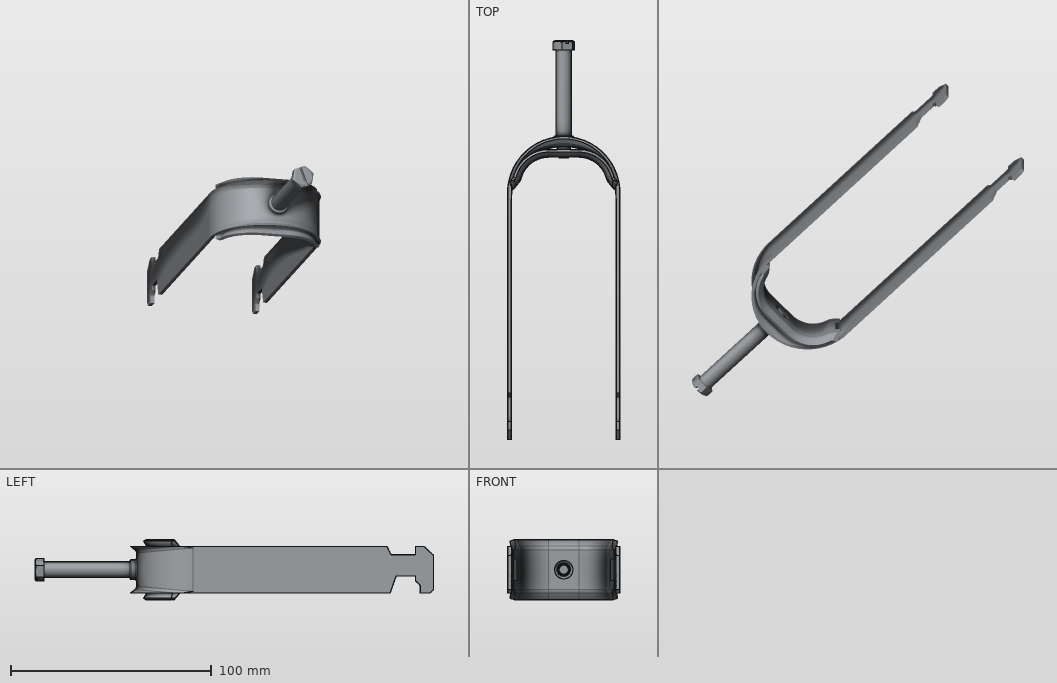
import cadquery as cq
import math


STRAP_OUTER_RADIUS = 28.0
STRAP_THICKNESS = 2.0
STRAP_INNER_RADIUS = STRAP_OUTER_RADIUS - STRAP_THICKNESS
STRAP_HEIGHT = 23.2
STRAP_HALF_HEIGHT = STRAP_HEIGHT / 2
ARM_LENGTH = 119.9
FLARE_SHIFT_OUTER = 3.0
FLARE_SHIFT_INNER = 3.8
FLARE_SLOPE = 1.25
FLARE_BEND_RADIUS = 2.0
FLARE_DEPTH = 6.0

EDGE_MARGIN = 0.2

HOOK_LENGTH = 9.1
HOOK_NOSE_LENGTH = 4.8
HOOK_NOSE_HEIGHT = 4.5
HOOK_HEEL_CHAMFER = 1.8
HOOK_TOE_LENGTH = 6.7
NECK_TOP = 7.5
NECK_BOTTOM = -3.2
HOOK_STEP_BOTTOM = -7.7
HOOK_STEP_TOP = -5.5
UPPER_NOTCH_LENGTH = 12.1
LOWER_NOTCH_LENGTH = 9.5
UPPER_NOTCH_SLANT = 2.0
LOWER_NOTCH_SLANT = 3.0

COLLAR_DIAMETER = 10.0
COLLAR_TIP_Y = 31.2
COLLAR_BASE_FILLET = 1.0
COLLAR_TIP_FILLET = 0.5

SADDLE_THICKNESS = 1.5
SADDLE_FRONT_Y = 20.6
SADDLE_FLAT_HALF = 7.5
SADDLE_BEND_RADIUS = 14.0
SADDLE_BEND_ANGLE = 80.0
THROAT_RADIUS = 8.0
FLANGE_ANGLE = 32.0
WEB_HALF_HEIGHT = 10.0
SADDLE_HEIGHT = 30.0
SADDLE_HALF_HEIGHT = SADDLE_HEIGHT / 2
FLANGE_BEND_RADIUS = 3.4
TAB_END_X = 25.0
TAB_END_Y = 4.8
TAB_NOTCH_HALF = 5.4
TAB_NOTCH_DEPTH = 2.0
TAB_CORNER_Y = 9.3
TAB_CORNER_LENGTH = 8.0
TAB_CORNER_DROP = 1.2
COUNTERSINK_DIAMETER = 9.1

SHANK_DIAMETER = 8.0
NECK_DIAMETER = 6.5
PILOT_DIAMETER = 6.0
TIP_DIAMETER = 5.0
TIP_CHAMFER = 0.2
TIP_END_Y = 20.2
TIP_LENGTH = 1.0
OVERALL_LENGTH = 198.5
HEAD_TOP_Y = OVERALL_LENGTH - ARM_LENGTH
HEAD_HEIGHT = 4.5
HEAD_ACROSS_FLATS = 10.0
HEAD_TURN = 9.0
HEAD_TOP_DIAMETER = 9.0
HEAD_CONE_SLOPE = 1.7
SLOT_WIDTH = 1.4
SLOT_DEPTH = 1.4


def disc_cone(radius, shift_y, side):
    """Cone widening away from Z = 0 to the given radius at the strap's edge."""
    cone = cq.Solid.makeCone(radius - FLARE_SLOPE * FLARE_DEPTH, radius, FLARE_DEPTH)
    cone = cq.Workplane(cone.translate(cq.Vector(0, shift_y, STRAP_HALF_HEIGHT - FLARE_DEPTH)))
    return cone if side > 0 else cone.mirror("XY")


def u_block(radius, shift_y, bend_radius):
    """Solid U: a round end with flared edges, and straight sides down to the arm ends."""
    block = (
        cq.Workplane("XY", origin=(0, 0, -STRAP_HALF_HEIGHT))
        .moveTo(radius, -ARM_LENGTH)
        .lineTo(radius, 0)
        .threePointArc((0, radius), (-radius, 0))
        .lineTo(-radius, -ARM_LENGTH)
        .close()
        .extrude(2 * STRAP_HALF_HEIGHT)
    )
    for side in (1, -1):
        block = block.union(disc_cone(radius, shift_y, side))
    low_y = FLARE_SHIFT_OUTER / 2
    high_y = radius + shift_y
    bend_low = STRAP_HALF_HEIGHT - FLARE_DEPTH + EDGE_MARGIN
    bend_high = STRAP_HALF_HEIGHT - EDGE_MARGIN
    upper_bend = cq.selectors.BoxSelector((-radius, low_y, bend_low), (radius, high_y, bend_high))
    lower_bend = cq.selectors.BoxSelector((-radius, low_y, -bend_low), (radius, high_y, -bend_high))
    return block.edges(upper_bend + lower_bend).fillet(bend_radius)


def arm_outline():
    """Side outline of the strap in the YZ plane, with the hook at the low-Y end."""
    h = STRAP_HALF_HEIGHT
    end = -ARM_LENGTH
    hook = end + HOOK_LENGTH
    front = STRAP_OUTER_RADIUS + 2 * FLARE_SHIFT_OUTER
    points = [
        (front, h),
        (hook + UPPER_NOTCH_LENGTH + UPPER_NOTCH_SLANT, h),
        (hook + UPPER_NOTCH_LENGTH, NECK_TOP),
        (hook, NECK_TOP),
        (hook, h),
        (end + HOOK_NOSE_LENGTH, h),
        (end, h - HOOK_NOSE_HEIGHT),
        (end, HOOK_HEEL_CHAMFER - h),
        (end + HOOK_HEEL_CHAMFER, -h),
        (end + HOOK_TOE_LENGTH, -h),
        (end + HOOK_TOE_LENGTH, HOOK_STEP_BOTTOM),
        (hook, HOOK_STEP_TOP),
        (hook, NECK_BOTTOM),
        (hook + LOWER_NOTCH_LENGTH, NECK_BOTTOM),
        (hook + LOWER_NOTCH_LENGTH + LOWER_NOTCH_SLANT, -h),
        (front, -h),
    ]
    return cq.Workplane("YZ").polyline(points).close().extrude(2 * STRAP_OUTER_RADIUS, both=True)


def y_cylinder(diameter, y_low, y_high):
    return cq.Workplane("XZ", origin=(0, y_high, 0)).circle(diameter / 2).extrude(y_high - y_low)


def make_strap():
    outer = u_block(STRAP_OUTER_RADIUS, FLARE_SHIFT_OUTER, FLARE_BEND_RADIUS)
    inner = u_block(STRAP_INNER_RADIUS, FLARE_SHIFT_INNER, FLARE_BEND_RADIUS + STRAP_THICKNESS)
    strap = outer.intersect(arm_outline())
    collar = y_cylinder(COLLAR_DIAMETER, 0, COLLAR_TIP_Y).faces(">Y").edges().fillet(COLLAR_TIP_FILLET)
    strap = strap.union(collar)
    reach = COLLAR_DIAMETER / 2 + EDGE_MARGIN
    near_collar = cq.selectors.BoxSelector(
        (-reach, STRAP_OUTER_RADIUS - COLLAR_BASE_FILLET, -reach),
        (reach, STRAP_OUTER_RADIUS + EDGE_MARGIN, reach),
    )
    strap = strap.edges(near_collar).fillet(COLLAR_BASE_FILLET)
    strap = strap.cut(inner)
    return strap.cut(y_cylinder(SHANK_DIAMETER, 0, COLLAR_TIP_Y))


def on_saddle_bend(degrees):
    """Point of the saddle's inner face, by its angle around the bend from the flat."""
    angle = math.radians(degrees)
    x = SADDLE_FLAT_HALF + SADDLE_BEND_RADIUS * math.sin(angle)
    y = SADDLE_FRONT_Y - SADDLE_BEND_RADIUS * (1 - math.cos(angle))
    return x, y


def saddle_path():
    """Inner face of the saddle, from the middle to the tip of its +X tab."""
    return (
        cq.Workplane("XY")
        .moveTo(0, SADDLE_FRONT_Y)
        .lineTo(SADDLE_FLAT_HALF, SADDLE_FRONT_Y)
        .threePointArc(on_saddle_bend(SADDLE_BEND_ANGLE / 2), on_saddle_bend(SADDLE_BEND_ANGLE))
        .lineTo(TAB_END_X, TAB_END_Y)
    )


def saddle_section():
    """Cross-section of the sheet: a straight web with a flange leaning outward at each edge."""
    lean = math.radians(FLANGE_ANGLE)
    front = SADDLE_FRONT_Y
    back = front + SADDLE_THICKNESS
    bend_y = front + FLANGE_BEND_RADIUS
    back_radius = FLANGE_BEND_RADIUS - SADDLE_THICKNESS

    def on_bend(radius, angle):
        return bend_y - radius * math.cos(angle), WEB_HALF_HEIGHT + radius * math.sin(angle)

    def lower(point):
        return point[0], -point[1]

    front_mid = on_bend(FLANGE_BEND_RADIUS, lean / 2)
    front_end = on_bend(FLANGE_BEND_RADIUS, lean)
    back_mid = on_bend(back_radius, lean / 2)
    back_end = on_bend(back_radius, lean)
    rise = SADDLE_HALF_HEIGHT - front_end[1]
    run = rise * math.tan(lean)
    front_rim = (front_end[0] + run, SADDLE_HALF_HEIGHT)
    back_rim = (back_end[0] + run, back_end[1] + rise)
    return (
        cq.Workplane("YZ")
        .moveTo(front, -WEB_HALF_HEIGHT)
        .lineTo(front, WEB_HALF_HEIGHT)
        .threePointArc(front_mid, front_end)
        .lineTo(*front_rim)
        .lineTo(*back_rim)
        .lineTo(*back_end)
        .threePointArc(back_mid, (back, WEB_HALF_HEIGHT))
        .lineTo(back, -WEB_HALF_HEIGHT)
        .threePointArc(lower(back_mid), lower(back_end))
        .lineTo(*lower(back_rim))
        .lineTo(*lower(front_rim))
        .lineTo(*lower(front_end))
        .threePointArc(lower(front_mid), (front, -WEB_HALF_HEIGHT))
        .close()
    )


def tab_corner_cutter():
    """Wedge that slopes off the upper corners of both tabs."""
    low_y = TAB_CORNER_Y - TAB_CORNER_LENGTH
    low_z = SADDLE_HALF_HEIGHT - TAB_CORNER_DROP * TAB_CORNER_LENGTH
    points = [(TAB_CORNER_Y, SADDLE_HALF_HEIGHT), (low_y, SADDLE_HALF_HEIGHT), (low_y, low_z)]
    return cq.Workplane("YZ").polyline(points).close().extrude(2 * STRAP_OUTER_RADIUS, both=True)


def make_saddle(strap):
    half = saddle_section().sweep(saddle_path(), transition="right")
    throat = cq.selectors.NearestToPointSelector((*on_saddle_bend(SADDLE_BEND_ANGLE), 0))
    half = half.edges(throat).fillet(THROAT_RADIUS)
    saddle = half.union(half.mirror("YZ"))
    corner = tab_corner_cutter()
    saddle = saddle.cut(corner).cut(corner.mirror("XY"))
    notch_y = TAB_END_Y + TAB_NOTCH_DEPTH
    notch = cq.Workplane("XY").box(3 * STRAP_OUTER_RADIUS, 2 * notch_y, 2 * TAB_NOTCH_HALF)
    saddle = saddle.cut(notch)
    saddle = saddle.cut(y_cylinder(PILOT_DIAMETER, 0, STRAP_OUTER_RADIUS))
    depth = (COUNTERSINK_DIAMETER - PILOT_DIAMETER) / 2
    countersink = cq.Solid.makeCone(
        COUNTERSINK_DIAMETER / 2,
        PILOT_DIAMETER / 2,
        depth,
        pnt=cq.Vector(0, SADDLE_FRONT_Y, 0),
        dir=cq.Vector(0, 1, 0),
    )
    return saddle.cut(cq.Workplane(countersink)).cut(strap)


def make_head():
    """Hexagonal head with a coned top and a slot across it."""
    half_side_angle = 30
    corner_diameter = HEAD_ACROSS_FLATS / math.cos(math.radians(half_side_angle))
    head = (
        cq.Workplane("XZ", origin=(0, HEAD_TOP_Y, 0))
        .transformed(rotate=(0, 0, 90 + HEAD_TURN))
        .polygon(6, corner_diameter)
        .extrude(HEAD_HEIGHT)
    )
    cone = cq.Solid.makeCone(
        HEAD_TOP_DIAMETER / 2 + HEAD_CONE_SLOPE * HEAD_HEIGHT,
        HEAD_TOP_DIAMETER / 2,
        HEAD_HEIGHT,
        pnt=cq.Vector(0, HEAD_TOP_Y - HEAD_HEIGHT, 0),
        dir=cq.Vector(0, 1, 0),
    )
    slot = (
        cq.Workplane("XZ", origin=(0, HEAD_TOP_Y, 0))
        .transformed(rotate=(0, 0, 90 - half_side_angle + HEAD_TURN))
        .rect(2 * HEAD_ACROSS_FLATS, SLOT_WIDTH)
        .extrude(SLOT_DEPTH)
    )
    return head.intersect(cq.Workplane(cone)).cut(slot)


def make_bolt():
    saddle_back_y = SADDLE_FRONT_Y + SADDLE_THICKNESS
    tip_base_y = TIP_END_Y + TIP_LENGTH
    tip = y_cylinder(TIP_DIAMETER, TIP_END_Y, tip_base_y).faces("<Y").chamfer(TIP_CHAMFER)
    bolt = make_head()
    bolt = bolt.union(y_cylinder(SHANK_DIAMETER, STRAP_INNER_RADIUS, HEAD_TOP_Y - HEAD_HEIGHT))
    bolt = bolt.union(y_cylinder(NECK_DIAMETER, saddle_back_y, STRAP_INNER_RADIUS))
    bolt = bolt.union(y_cylinder(PILOT_DIAMETER, tip_base_y, saddle_back_y))
    return bolt.union(tip)


strap = make_strap()
saddle = make_saddle(strap)
bolt = make_bolt()

result = cq.Compound.makeCompound([strap.solids().val(), saddle.solids().val(), bolt.solids().val()])